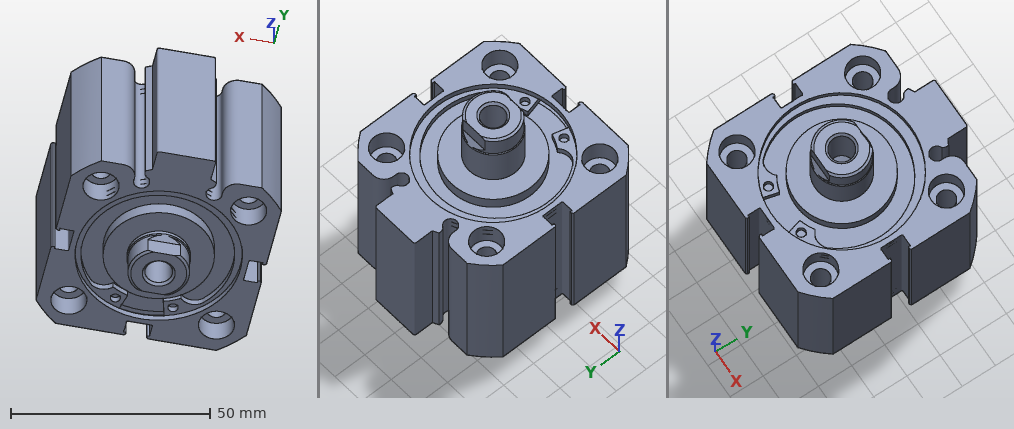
import cadquery as cq
import math


body_width = 54.0
body_height = 41.0
half_width = body_width / 2
corner_radius = 34.0
bore_radius = 21.0

rail_width = 15.0
overall_depth = 60.0
rail_top = overall_depth - half_width
rail_edge_radius = 0.6
groove_x = 9.3
groove_y = 22.5
groove_radius = 2.0
groove_mouth_radius = 3.7
lip_tip_x = 9.1
lip_tip_y = 26.2
lip_bulge_x = 9.05
lip_bulge_y = 25.2
lip_root_angle = math.radians(109)

slot_width = 6.6
slot_depth = 4.55
slot_corner_radius = 0.3
mouth_width = 5.4
lip_thickness = 1.0
mouth_chamfer = 0.4

bolt_spacing = 37.9
bolt_hole_diameter = 5.15
counterbore_diameter = 9.05
counterbore_depth = 6.2

ring_depth = 1.75
ring_thickness = 1.75
ring_radius = 22.2
ring_opening_radius = 19.3
ring_opening_offset = 1.2
lug_radius = 16.3
lug_tip_x = 8.7
lug_end_x = 4.55
gap_end_x = 5.7
gap_end_y = 20.15
recess_start_x = 14.35
recess_low_x = 11.95
recess_low_y = 15.1
lug_hole_x = 7.4
lug_hole_y = 17.15
lug_hole_diameter = 2.55
rim_clearance = 0.65

gland_depth = ring_depth + ring_thickness
gland_thickness = 8.0
boss_radius = 14.0

rod_length = 65
rod_bottom = -7.0
rod_top = rod_bottom + rod_length
rod_radius = 8.0
end_radius = 7.75
end_length = 6.0
end_edge_chamfer_width = 0.7
end_edge_chamfer_height = 0.4
flat_half_distance = 6.5
flat_length = 4.55
thread_hole_diameter = 6.95
thread_mouth_diameter = 8.25
thread_hole_depth = 14.95
drill_tip_angle = math.radians(118)


def mirrored_pair(upper):
    """The body at the top end together with its mirror image at the bottom end."""
    return [upper, upper.mirror("XY", (0, 0, body_height / 2))]


def rail_groove():
    """Cutter for the groove beside the sensor rail on the +X side."""
    lip_root = (
        groove_x + groove_radius * math.cos(lip_root_angle),
        groove_y + groove_radius * math.sin(lip_root_angle),
    )
    wall_x = groove_x + groove_radius
    mouth_center_x = wall_x + groove_mouth_radius
    mouth_center_y = half_width - groove_mouth_radius
    mouth_middle = (
        mouth_center_x - groove_mouth_radius * math.cos(math.pi / 4),
        mouth_center_y + groove_mouth_radius * math.sin(math.pi / 4),
    )
    return (
        cq.Workplane("XY")
        .moveTo(rail_width / 2, half_width)
        .lineTo(lip_tip_x, lip_tip_y)
        .threePointArc((lip_bulge_x, lip_bulge_y), lip_root)
        .threePointArc((groove_x, groove_y - groove_radius), (wall_x, groove_y))
        .lineTo(wall_x, mouth_center_y)
        .threePointArc(mouth_middle, (mouth_center_x, half_width))
        .close()
        .extrude(body_height)
    )


def t_slot():
    """Cutter for the T-slot of the -Y side."""
    pocket_length = slot_depth - lip_thickness
    pocket = (
        cq.Workplane("XY")
        .center(0, -half_width + lip_thickness + pocket_length / 2)
        .rect(slot_width, pocket_length)
        .extrude(body_height)
        .edges("|Z and >Y")
        .fillet(slot_corner_radius)
    )
    mouth_half = mouth_width / 2
    opening_half = mouth_half + mouth_chamfer
    mouth = (
        cq.Workplane("XY")
        .moveTo(-opening_half, -half_width)
        .lineTo(-mouth_half, -half_width + mouth_chamfer)
        .lineTo(-mouth_half, -half_width + lip_thickness)
        .lineTo(mouth_half, -half_width + lip_thickness)
        .lineTo(mouth_half, -half_width + mouth_chamfer)
        .lineTo(opening_half, -half_width)
        .close()
        .extrude(body_height)
    )
    return pocket.union(mouth)


def bolt_hole_points():
    """Centers of the four bolt holes, on a square."""
    return cq.Workplane("XY").rect(bolt_spacing, bolt_spacing, forConstruction=True).vertices()


def bolt_holes():
    """Cutter for the four through holes and their counterbores."""
    through = bolt_hole_points().circle(bolt_hole_diameter / 2).extrude(body_height)
    counterbores = bolt_hole_points().circle(counterbore_diameter / 2).extrude(counterbore_depth)
    upper = counterbores.translate((0, 0, body_height - counterbore_depth))
    return through.union(counterbores).union(upper)


def build_housing():
    """Square body with rounded corners, sensor rail, slots and a bore right through."""
    block = cq.Workplane("XY").rect(body_width, body_width).extrude(body_height)
    block = block.intersect(cq.Workplane("XY").circle(corner_radius).extrude(body_height))

    rail = (
        cq.Workplane("XY")
        .center(0, rail_top / 2)
        .rect(rail_width, rail_top)
        .extrude(body_height)
        .edges("|Z and >Y")
        .fillet(rail_edge_radius)
    )
    housing = block.union(rail)

    groove = rail_groove()
    housing = housing.cut(groove).cut(groove.mirror("YZ"))

    for angle in (-90, 0, 90):
        housing = housing.cut(t_slot().rotate((0, 0, 0), (0, 0, 1), angle))

    bore = cq.Workplane("XY").circle(bore_radius).extrude(body_height)
    ring_groove = (
        cq.Workplane("XY")
        .workplane(offset=body_height - gland_depth)
        .circle(ring_radius)
        .extrude(ring_thickness)
    )
    for cutter in [bore, *mirrored_pair(ring_groove), bolt_holes()]:
        housing = housing.cut(cutter)
    return housing


def build_upper_gland():
    """Disc that closes the bore under the ring, with a boss flush with the housing."""
    disc_bottom = body_height - gland_depth - gland_thickness
    disc = cq.Workplane("XY").workplane(offset=disc_bottom).circle(bore_radius).extrude(gland_thickness)
    boss = disc.faces(">Z").workplane().circle(boss_radius).extrude(gland_depth)
    return boss.cut(cq.Workplane("XY").circle(rod_radius).extrude(body_height))


def build_upper_ring():
    """Internal retaining ring with an eccentric opening and two eyed lugs."""
    recess_start_y = -ring_opening_offset - math.sqrt(ring_opening_radius**2 - recess_start_x**2)
    lug_tip_y = -math.sqrt(lug_radius**2 - lug_tip_x**2)
    lug_end_y = -math.sqrt(lug_radius**2 - lug_end_x**2)
    lug_middle_x = (lug_tip_x + lug_end_x) / 2
    lug_middle_y = -math.sqrt(lug_radius**2 - lug_middle_x**2)
    gap_slope = (gap_end_x - lug_end_x) / (gap_end_y + lug_end_y)
    gap_outer_y = ring_radius + rim_clearance
    gap_outer_x = gap_end_x + gap_slope * (gap_outer_y - gap_end_y)

    opening = (
        cq.Workplane("XY")
        .moveTo(gap_outer_x, -gap_outer_y)
        .lineTo(lug_end_x, lug_end_y)
        .threePointArc((lug_middle_x, lug_middle_y), (lug_tip_x, lug_tip_y))
        .threePointArc((recess_low_x, -recess_low_y), (recess_start_x, recess_start_y))
        .threePointArc((0, ring_opening_radius - ring_opening_offset), (-recess_start_x, recess_start_y))
        .threePointArc((-recess_low_x, -recess_low_y), (-lug_tip_x, lug_tip_y))
        .threePointArc((-lug_middle_x, lug_middle_y), (-lug_end_x, lug_end_y))
        .lineTo(-gap_outer_x, -gap_outer_y)
        .close()
        .extrude(ring_thickness)
    )
    eyes = (
        cq.Workplane("XY")
        .pushPoints([(-lug_hole_x, -lug_hole_y), (lug_hole_x, -lug_hole_y)])
        .circle(lug_hole_diameter / 2)
        .extrude(ring_thickness)
    )
    ring = cq.Workplane("XY").circle(ring_radius).extrude(ring_thickness).cut(opening).cut(eyes)
    return ring.translate((0, 0, body_height - gland_depth))


def wrench_flat():
    """Cutter for the flat on the -Y side of the upper rod end, run out at 45 degrees."""
    run_out = rod_radius
    flat_bottom = rod_top - flat_length
    return (
        cq.Workplane("YZ")
        .moveTo(-flat_half_distance, rod_top)
        .lineTo(-flat_half_distance, flat_bottom)
        .lineTo(-flat_half_distance - run_out, flat_bottom - run_out)
        .lineTo(-flat_half_distance - run_out, rod_top)
        .close()
        .extrude(rod_radius, both=True)
    )


def threaded_hole():
    """Cutter for the countersunk blind hole of the upper rod end."""
    hole_radius = thread_hole_diameter / 2
    mouth_radius = thread_mouth_diameter / 2
    tip_height = hole_radius / math.tan(drill_tip_angle / 2)
    hole_floor = rod_top - thread_hole_depth
    return (
        cq.Workplane("XZ")
        .moveTo(0, rod_top)
        .lineTo(mouth_radius, rod_top)
        .lineTo(hole_radius, rod_top - (mouth_radius - hole_radius))
        .lineTo(hole_radius, hole_floor)
        .lineTo(0, hole_floor - tip_height)
        .close()
        .revolve(360, (0, 0, 0), (0, 1, 0))
    )


def build_rod():
    """Through rod; the two ends are alike."""
    shoulder = rod_radius - end_radius
    upper_step = rod_top - end_length
    lower_step = rod_bottom + end_length
    edge_radius = end_radius - end_edge_chamfer_width
    rod = (
        cq.Workplane("XZ")
        .moveTo(0, rod_bottom)
        .lineTo(edge_radius, rod_bottom)
        .lineTo(end_radius, rod_bottom + end_edge_chamfer_height)
        .lineTo(end_radius, lower_step - shoulder)
        .lineTo(rod_radius, lower_step)
        .lineTo(rod_radius, upper_step)
        .lineTo(end_radius, upper_step + shoulder)
        .lineTo(end_radius, rod_top - end_edge_chamfer_height)
        .lineTo(edge_radius, rod_top)
        .lineTo(0, rod_top)
        .close()
        .revolve(360, (0, 0, 0), (0, 1, 0))
    )
    rod_middle = (0, 0, (rod_bottom + rod_top) / 2)
    for cutter in [wrench_flat(), wrench_flat().mirror("XZ"), threaded_hole()]:
        rod = rod.cut(cutter).cut(cutter.mirror("XY", rod_middle))
    return rod


housing = build_housing()
glands = mirrored_pair(build_upper_gland())
rings = mirrored_pair(build_upper_ring())
rod = build_rod()

result = cq.Compound.makeCompound(
    [
        housing.val(),
        *[gland.val() for gland in glands],
        *[ring.val() for ring in rings],
        rod.val(),
    ]
)